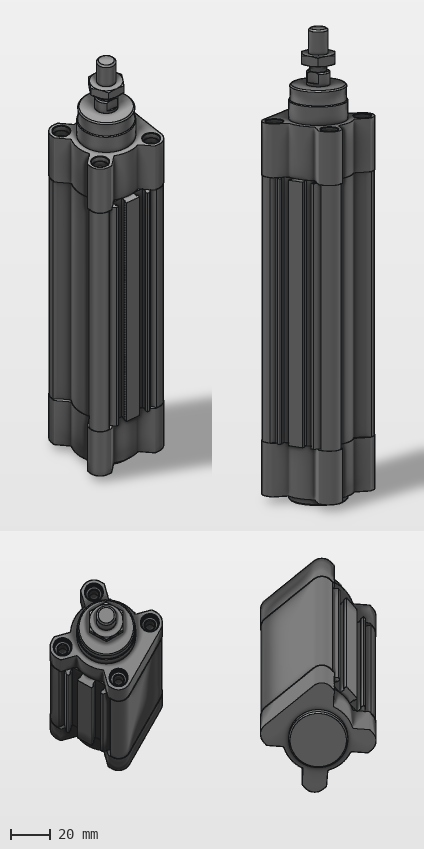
import cadquery as cq
import math

total_height = 245.0
foot_height = 4.0
cap_height = 28.0
caps_span = 194.0
collar_height = 10.0
neck_height = 7.8
thread_length = 22.0

body_top = foot_height + caps_span
tube_bottom = foot_height + cap_height
tube_top = body_top - cap_height
collar_top = body_top + collar_height
neck_top = collar_top + neck_height
shoulder_z = total_height - thread_length

cap_half = 22.5
screw_offset = 16.2
cap_web = 8.8
cap_waist_radius = 18.1
mouth_fillet = 1.2
waist_fillet = 1.0
recess_angles = (-90, 0, 90)

tube_half = 22.3
tube_waist_radius = 18.0
tube_web = 6.4
tube_mouth_x = 15.0
tube_knee_x = 13.7

slot_floor_x = 17.6
lip_inner_x = 20.3
slot_mouth_near = 4.2
slot_mouth_far = 9.0
slot_undercut = 0.5
lip_corner_y = 10.5

collar_radius = 15.0
collar_bevel = 0.5
neck_radius = 14.5
neck_waist_radius = 14.2
neck_chamfer = 0.7
foot_chamfer = 0.7

socket_rim_diameter = 9.5
socket_diameter = 8.8
socket_depth = 3.0
seat_diameter = 8.0
seat_depth = 3.0
tap_rim_diameter = 6.0
tap_diameter = 5.0
tap_depth = 9.8
tap_tip_height = 1.5

rod_diameter = 12.0
thread_diameter = 10.0
rod_chamfer = 0.7
thread_chamfer = 1.0
relief_diameter = 8.5
relief_height = 1.2
relief_taper_height = 2.7
flats_width = 10.0
flats_bottom = 217.5

nut_sides = 6
nut_width = 17.0
nut_height = 5.1
nut_bottom = 227.0
nut_chamfer = 0.5


def corner_post_prism(half, flank, waist_radius, bottom, height):
    """Square prism recessed at -X, +X and -Y down to a round waist, leaving posts at the corners.

    `flank` lists the (x, y) points of the recess at -Y from its mouth to its middle, on the +X half.
    """
    prism = (
        cq.Workplane("XY", origin=(0, 0, bottom))
        .rect(2 * half, 2 * half)
        .extrude(height)
        .edges("|Z")
        .fillet(half - screw_offset)
    )
    waist = cq.Workplane("XY", origin=(0, 0, bottom)).circle(waist_radius).extrude(height)
    mirrored_flank = [(-x, y) for x, y in flank[:-1]]
    recess = (
        cq.Workplane("XY", origin=(0, 0, bottom))
        .polyline(flank + mirrored_flank[::-1])
        .close()
        .extrude(height)
        .cut(waist)
        .edges("|Z and >Y")
        .fillet(waist_fillet)
    )
    for angle in recess_angles:
        prism = prism.cut(recess.rotate((0, 0, 0), (0, 0, 1), angle))
    return prism


def make_cap(bottom):
    mouth_x = cap_half - cap_web
    cap = corner_post_prism(
        cap_half, [(mouth_x, -cap_half), (0, -cap_web)], cap_waist_radius, bottom, cap_height
    )
    reach = mouth_fillet / 2
    mouth_corners = [(x, -cap_half) for x in (-mouth_x, mouth_x)]
    for side_x in (-cap_half, cap_half):
        mouth_corners += [(side_x, y) for y in (-mouth_x, mouth_x)]
    for x, y in mouth_corners:
        around_corner = cq.selectors.BoxSelector(
            (x - reach, y - reach, bottom), (x + reach, y + reach, bottom + cap_height)
        )
        cap = cap.edges("|Z").edges(around_corner).fillet(mouth_fillet)
    return cap


def extrude_tube_outline(points):
    return (
        cq.Workplane("XY", origin=(0, 0, tube_bottom))
        .polyline(points)
        .close()
        .extrude(tube_top - tube_bottom)
    )


def slot_block(side):
    """Block on one X side of the tube that the slots are cut in; V-grooves part it from the posts."""
    slope_run = (tube_half - tube_web - lip_corner_y) / 2
    valley_y = lip_corner_y + slope_run
    valley_x = tube_half - slope_run
    upper_half = [(tube_half, lip_corner_y), (valley_x, valley_y), (0, valley_y)]
    lower_half = [(x, -y) for x, y in reversed(upper_half)]
    return extrude_tube_outline([(side * x, y) for x, y in lower_half + upper_half])


def sensor_slot(side, direction):
    """Undercut slot on one X side of the tube, above (+1) or below (-1) the middle rib in Y."""
    undercut_near = slot_mouth_near - slot_undercut
    undercut_far = slot_mouth_far + slot_undercut
    points = [
        (slot_floor_x, undercut_near),
        (lip_inner_x, undercut_near),
        (lip_inner_x, slot_mouth_near),
        (tube_half, slot_mouth_near),
        (tube_half, slot_mouth_far),
        (lip_inner_x, slot_mouth_far),
        (lip_inner_x, undercut_far),
        (slot_floor_x, undercut_far),
    ]
    return extrude_tube_outline([(side * x, direction * y) for x, y in points])


def make_tube():
    flank = [(tube_mouth_x, -tube_half), (tube_knee_x, -tube_knee_x - tube_web), (0, -tube_web)]
    tube = corner_post_prism(tube_half, flank, tube_waist_radius, tube_bottom, tube_top - tube_bottom)
    for side in (-1, 1):
        tube = tube.union(slot_block(side))
        for direction in (-1, 1):
            tube = tube.cut(sensor_slot(side, direction))
    return tube


def make_collar():
    neck_middle = (collar_top + neck_top - neck_chamfer) / 2
    return (
        cq.Workplane("XZ")
        .moveTo(0, body_top)
        .lineTo(collar_radius, body_top)
        .lineTo(collar_radius, collar_top - collar_bevel)
        .lineTo(neck_radius, collar_top)
        .threePointArc((neck_waist_radius, neck_middle), (neck_radius, neck_top - neck_chamfer))
        .lineTo(neck_radius - neck_chamfer, neck_top)
        .lineTo(0, neck_top)
        .close()
        .revolve(360, (0, 0), (0, 1))
    )


def make_foot():
    return cq.Workplane("XY").circle(collar_radius).extrude(foot_height).faces("<Z").chamfer(foot_chamfer)


def screw_socket(x, y):
    """Chamfered, stepped counterbore with a chamfered, cone-ended tapped hole in its floor."""
    rim_chamfer = (socket_rim_diameter - socket_diameter) / 2
    tap_chamfer = (tap_rim_diameter - tap_diameter) / 2
    floor_z = -socket_depth - seat_depth
    return (
        cq.Workplane("XZ")
        .lineTo(socket_rim_diameter / 2, 0)
        .lineTo(socket_diameter / 2, -rim_chamfer)
        .lineTo(socket_diameter / 2, -socket_depth)
        .lineTo(seat_diameter / 2, -socket_depth)
        .lineTo(seat_diameter / 2, floor_z)
        .lineTo(tap_rim_diameter / 2, floor_z)
        .lineTo(tap_diameter / 2, floor_z - tap_chamfer)
        .lineTo(tap_diameter / 2, floor_z - tap_depth)
        .lineTo(0, floor_z - tap_depth - tap_tip_height)
        .close()
        .revolve(360, (0, 0), (0, 1))
        .translate((x, y, body_top))
    )


def make_housing():
    housing = make_tube()
    for cap_bottom in (foot_height, tube_top):
        housing = housing.union(make_cap(cap_bottom))
    housing = housing.union(make_collar()).union(make_foot())
    for x in (-screw_offset, screw_offset):
        for y in (-screw_offset, screw_offset):
            housing = housing.cut(screw_socket(x, y))
    rod_hole = (
        cq.Workplane("XY", origin=(0, 0, body_top)).circle(rod_diameter / 2).extrude(neck_top - body_top)
    )
    return housing.cut(rod_hole)


def make_rod():
    rod_radius = rod_diameter / 2
    thread_radius = thread_diameter / 2
    relief_top = shoulder_z + relief_height
    rod = (
        cq.Workplane("XZ")
        .moveTo(0, body_top)
        .lineTo(rod_radius, body_top)
        .lineTo(rod_radius, shoulder_z - rod_chamfer)
        .lineTo(rod_radius - rod_chamfer, shoulder_z)
        .lineTo(relief_diameter / 2, shoulder_z)
        .lineTo(relief_diameter / 2, relief_top)
        .lineTo(thread_radius, relief_top + relief_taper_height)
        .lineTo(thread_radius, total_height - thread_chamfer)
        .lineTo(thread_radius - thread_chamfer, total_height)
        .lineTo(0, total_height)
        .close()
        .revolve(360, (0, 0), (0, 1))
    )
    flats_height = shoulder_z - flats_bottom
    for side in (-1, 1):
        flat_cut = (
            cq.Workplane("XY", origin=(side * (flats_width / 2 + rod_radius), 0, flats_bottom))
            .rect(2 * rod_radius, 2 * rod_diameter)
            .extrude(flats_height)
        )
        rod = rod.cut(flat_cut)
    return rod


def make_nut():
    half_sector = 180 / nut_sides
    corner_radius = nut_width / 2 / math.cos(math.radians(half_sector))
    hexagon = (
        cq.Workplane("XY", origin=(0, 0, nut_bottom))
        .polygon(nut_sides, 2 * corner_radius)
        .extrude(nut_height)
        .rotate((0, 0, 0), (0, 0, 1), half_sector)
    )
    trimmer = (
        cq.Workplane("XY", origin=(0, 0, nut_bottom))
        .circle(corner_radius)
        .extrude(nut_height)
        .faces("<Z or >Z")
        .chamfer(nut_chamfer, corner_radius - nut_width / 2)
    )
    thread_hole = cq.Workplane("XY", origin=(0, 0, nut_bottom)).circle(thread_diameter / 2).extrude(nut_height)
    return hexagon.intersect(trimmer).cut(thread_hole)


housing = make_housing()
rod = make_rod()
nut = make_nut()

result = cq.Compound.makeCompound([housing.val(), rod.val(), nut.val()])